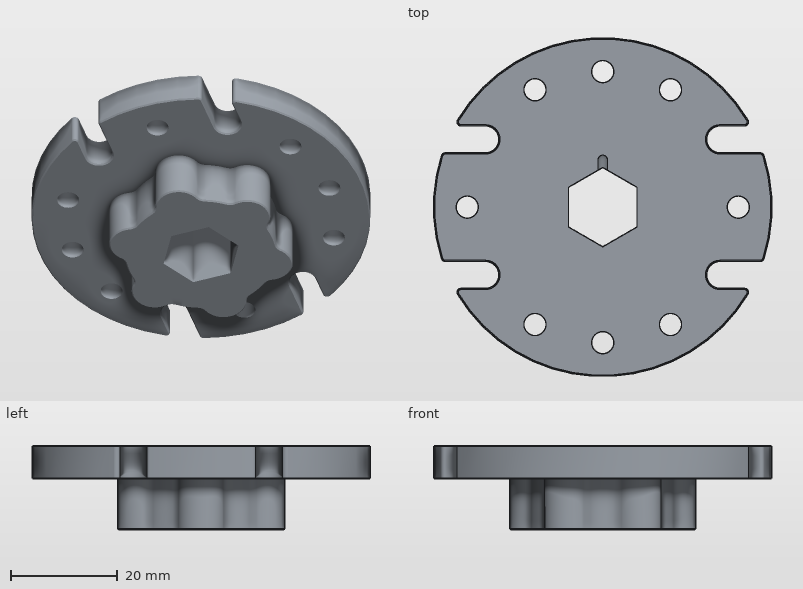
import cadquery as cq
import math

plate_diameter = 63.5
plate_thickness = 6.35
plate_edge_chamfer = 0.25

bolt_circle_radius = 25.4
station_pitch = 30
bolt_hole_diameter = 4.1
slot_angles = [30, 150, 210, 330]
slot_width = 5.0
slot_mouth_fillet = 0.76

hub_height = 9.525
hub_root_radius = 14.28
lobe_count = 6
lobe_center_radius = 13.1
lobe_radius = 4.35
lobe_root_fillet = 2.0
hub_edge_chamfer = 0.25

hex_across_flats = 12.83
mark_width = 1.75
mark_tip_radius = 9.75
mark_depth = 0.75

plate_radius = plate_diameter / 2
part_height = plate_thickness + hub_height

on_cylinder_tolerance = 0.01


def on_circle(radius, angle):
    """Point at the given radius and angle (degrees) about the part axis."""
    return (radius * math.cos(math.radians(angle)), radius * math.sin(math.radians(angle)))


def open_slot(angle):
    """Cutter for a slot that runs parallel to X from a station out through the rim."""
    x, y = on_circle(bolt_circle_radius, angle)
    outward = math.copysign(plate_radius, x)
    end = cq.Workplane("XY").center(x, y).circle(slot_width / 2).extrude(plate_thickness)
    channel = (
        cq.Workplane("XY")
        .center(x + outward / 2, y)
        .rect(plate_radius, slot_width)
        .extrude(plate_thickness)
    )
    return end.union(channel)


def is_slot_mouth(edge):
    """True for an upright edge where a slot wall meets the outer cylinder."""
    center = edge.Center()
    on_rim = abs(math.hypot(center.x, center.y) - plate_radius) < on_cylinder_tolerance
    return on_rim and abs(center.y) > slot_width


def make_plate():
    """Plate with open slots, rounded slot mouths and chamfered rims, before drilling."""
    plate = cq.Workplane("XY").circle(plate_radius).extrude(plate_thickness)
    for angle in slot_angles:
        plate = plate.cut(open_slot(angle))

    plate = plate.edges("|Z").filter(is_slot_mouth).fillet(slot_mouth_fillet)
    return plate.faces("<Z or >Z").chamfer(plate_edge_chamfer)


def is_lobe_root(edge):
    """True for an upright edge where a lobe meets the hub core."""
    center = edge.Center()
    return abs(math.hypot(center.x, center.y) - hub_root_radius) < on_cylinder_tolerance


def make_hub():
    """Round core with six rounded lobes, blended into the core by fillets."""
    hub = cq.Workplane("XY").circle(hub_root_radius).extrude(-hub_height)
    lobes = (
        cq.Workplane("XY")
        .polarArray(lobe_center_radius, 0, 360, lobe_count)
        .circle(lobe_radius)
        .extrude(-hub_height)
    )
    hub = hub.union(lobes)
    hub = hub.edges("|Z").filter(is_lobe_root).fillet(lobe_root_fillet)
    return hub.faces("<Z").chamfer(hub_edge_chamfer)


def cut_bolt_holes(body):
    """Drill the stations that are not open slots."""
    hole_angles = [a for a in range(0, 360, station_pitch) if a not in slot_angles]
    points = [on_circle(bolt_circle_radius, a) for a in hole_angles]
    holes = cq.Workplane("XY").pushPoints(points).circle(bolt_hole_diameter / 2).extrude(plate_thickness)
    return body.cut(holes)


def cut_bore(body):
    """Hexagonal bore through plate and hub, with corners on the Y axis."""
    hex_across_corners = hex_across_flats / math.cos(math.pi / 6)
    bore = (
        cq.Workplane("XY", origin=(0, 0, -hub_height))
        .transformed(rotate=(0, 0, 90))
        .polygon(6, hex_across_corners)
        .extrude(part_height)
    )
    return body.cut(bore)


def cut_alignment_mark(body):
    """Shallow round-ended groove leading from the top corner of the bore along +Y."""
    mark = (
        cq.Workplane("XY", origin=(0, mark_tip_radius / 2, plate_thickness))
        .slot2D(mark_tip_radius, mark_width, 90)
        .extrude(-mark_depth)
    )
    return body.cut(mark)


result = make_plate().union(make_hub())
result = cut_bolt_holes(result)
result = cut_bore(result)
result = cut_alignment_mark(result)